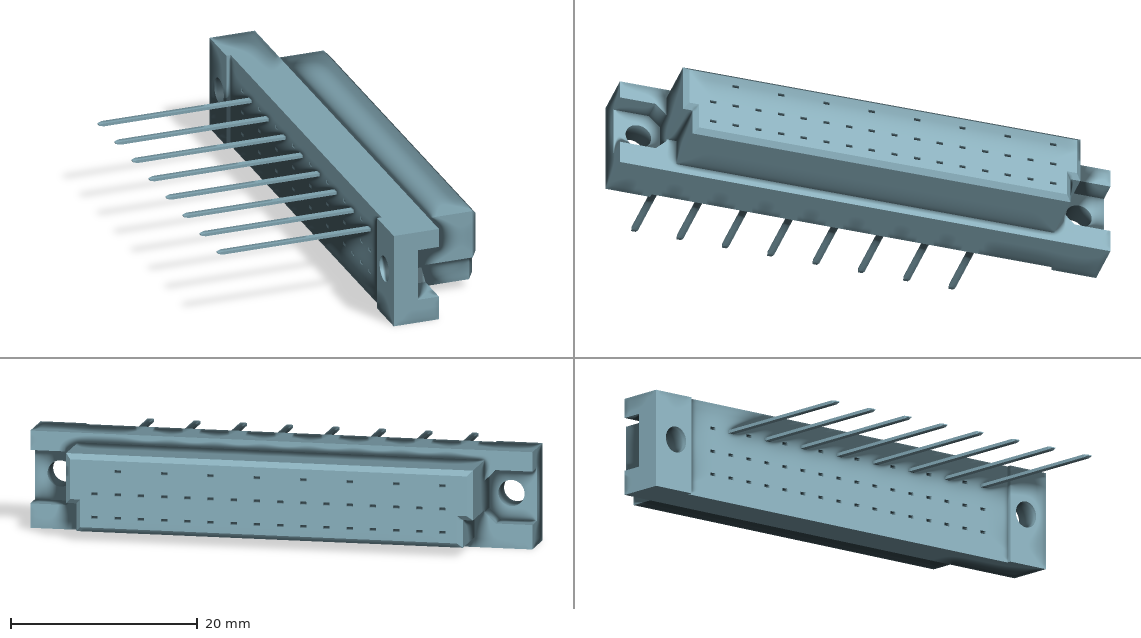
import cadquery as cq


LENGTH = 55.0
HEIGHT = 10.6
FLANGE_BACK = 5.15
FOOT_LENGTH = 5.0
FOOT_STEP = 0.5

BLOCK_LENGTH = 44.55
BLOCK_HEIGHT = 8.45
BLOCK_BACK = 11.6
BLOCK_CHAMFER = 0.55
LEDGE_Z = -1.2
LEDGE_DEPTH = 1.1

MOUNT_INSET = 2.8
MOUNT_Z = 0.3
MOUNT_DIAMETER = 2.85
POCKET_FLOOR = 2.8
POCKET_MOUTH = 5.85
POCKET_END = 3.4
POCKET_TAPER = (POCKET_MOUTH - POCKET_END) / 2

COLUMNS = 16
ROWS = 3
COLUMN_SPAN = 38.1
PITCH = COLUMN_SPAN / (COLUMNS - 1)
CONTACT_WIDTH = 0.7
CONTACT_THICKNESS = 0.35
PIN_TIP = -17.0
TIP_LENGTH = 0.5
TIP_INSET = 0.1
PIN_COLUMN_STEP = 2

COLUMN_X = [(i - (COLUMNS - 1) / 2) * PITCH for i in range(COLUMNS)]
ROW_Z = [(i - (ROWS - 1) / 2) * PITCH for i in range(ROWS)]


def box_between(x_range, y_range, z_range):
    """Box spanning the given (low, high) limits."""
    sizes = [high - low for low, high in (x_range, y_range, z_range)]
    corner = (x_range[0], y_range[0], z_range[0])
    return cq.Workplane("XY").box(*sizes, centered=False).translate(corner)


def make_flange():
    """Long flange whose front face is stepped back between the two feet."""
    half_length = LENGTH / 2
    half_height = HEIGHT / 2
    half_recess = half_length - FOOT_LENGTH
    flange = box_between((-half_length, half_length), (0, FLANGE_BACK), (-half_height, half_height))
    recess = box_between((-half_recess, half_recess), (0, FOOT_STEP), (-half_height, half_height))
    return flange.cut(recess)


def make_mating_block():
    """Block with a keyed end profile and a chamfered rim around its back face."""
    half_length = BLOCK_LENGTH / 2
    half_height = BLOCK_HEIGHT / 2
    narrow_half = half_length - LEDGE_DEPTH
    profile = [
        (-half_length, half_height),
        (half_length, half_height),
        (half_length, LEDGE_Z),
        (narrow_half, LEDGE_Z),
        (narrow_half, -half_height),
        (-narrow_half, -half_height),
        (-narrow_half, LEDGE_Z),
        (-half_length, LEDGE_Z),
    ]
    block = cq.Workplane("XZ", origin=(0, POCKET_FLOOR, 0)).polyline(profile).close()
    block = block.extrude(POCKET_FLOOR - BLOCK_BACK)
    return block.faces(">Y").chamfer(BLOCK_CHAMFER)


def make_nut_pocket(side):
    """Pocket open to the back and the end of the flange, tapered where it meets the block."""
    outer_x = side * LENGTH / 2
    inner_x = side * BLOCK_LENGTH / 2
    taper_x = inner_x + side * POCKET_TAPER
    half_mouth = POCKET_MOUTH / 2
    half_end = POCKET_END / 2
    outline = [
        (outer_x, MOUNT_Z - half_mouth),
        (outer_x, MOUNT_Z + half_mouth),
        (taper_x, MOUNT_Z + half_mouth),
        (inner_x, MOUNT_Z + half_end),
        (inner_x, MOUNT_Z - half_end),
        (taper_x, MOUNT_Z - half_mouth),
    ]
    pocket = cq.Workplane("XZ", origin=(0, POCKET_FLOOR, 0)).polyline(outline).close()
    return pocket.extrude(POCKET_FLOOR - FLANGE_BACK)


def make_mount_hole(side):
    """Round hole through the flange near one end."""
    axis_x = side * (LENGTH / 2 - MOUNT_INSET)
    hole = cq.Workplane("XZ", origin=(axis_x, 0, MOUNT_Z)).circle(MOUNT_DIAMETER / 2)
    return hole.extrude(-FLANGE_BACK)


def make_contact_slots():
    """Grid of rectangular slots running through flange and block."""
    centres = [(x, z) for x in COLUMN_X for z in ROW_Z]
    slots = cq.Workplane("XZ").pushPoints(centres).rect(CONTACT_WIDTH, CONTACT_THICKNESS)
    return slots.extrude(-BLOCK_BACK)


def make_housing():
    """Flange and mating block in one piece, with all openings cut."""
    housing = make_flange().union(make_mating_block())
    for side in (-1, 1):
        housing = housing.cut(make_nut_pocket(side))
        housing = housing.cut(make_mount_hole(side))
    return housing.cut(make_contact_slots())


def make_pin(x):
    """Pin in the top row: fills its slot and ends in a tapered tip in front."""
    shoulder_y = PIN_TIP + TIP_LENGTH
    axis = cq.Workplane("XZ", origin=(x, shoulder_y, ROW_Z[-1]))
    shank = axis.rect(CONTACT_WIDTH, CONTACT_THICKNESS).extrude(shoulder_y - BLOCK_BACK)
    tip = (
        axis.rect(CONTACT_WIDTH, CONTACT_THICKNESS)
        .workplane(offset=TIP_LENGTH)
        .rect(CONTACT_WIDTH - 2 * TIP_INSET, CONTACT_THICKNESS - 2 * TIP_INSET)
        .loft(ruled=True)
    )
    return shank.union(tip)


housing = make_housing()
pins = [make_pin(x) for x in COLUMN_X[PIN_COLUMN_STEP - 1::PIN_COLUMN_STEP]]

result = cq.Compound.makeCompound([housing.val(), *[pin.val() for pin in pins]])